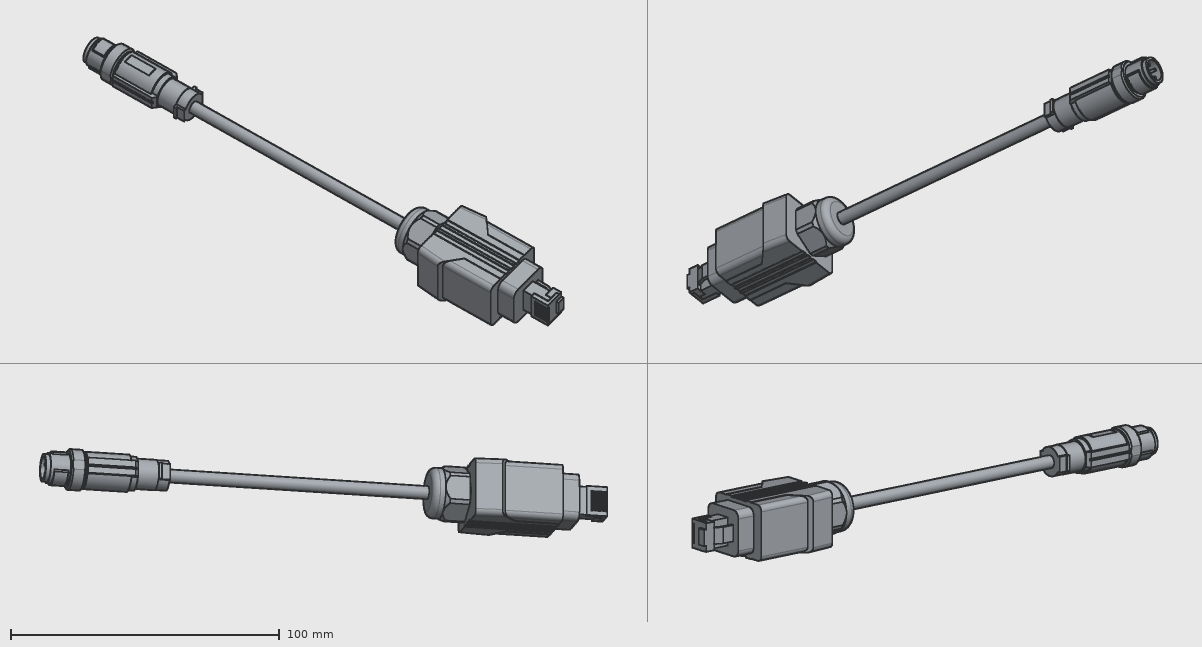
import cadquery as cq
import math


tip_radius = 5.2
tip_end = 1.7
nose_diameter = 11.5
nose_radius = nose_diameter / 2
rail_start = 3.0
rail_end = 8.5
rail_diameter = 12.7
rail_radius = rail_diameter / 2
top_rail_width = 7.0
bottom_rail_level = -2.0
collar_start = 9.3
collar_end = 15.0
collar_diameter = 15.3
collar_radius = collar_diameter / 2
collar_chamfer = 0.6
collar_flat_distance = 15.0
groove_radius = 6.3
grip_start = 15.5
grip_end = 32.5
grip_diameter = 14.0
grip_radius = grip_diameter / 2
shoulder_end = 35.0
shoulder_diameter = 12.7
shoulder_radius = shoulder_diameter / 2
pad_half_width = collar_radius
pad_height = 5.8
pad_bevel = 1.3
pad_groove_width = 0.6
pad_groove_depth = 0.5
marker_start = 17.0
marker_end = 28.3
marker_width = 4.8
marker_depth = 0.32
sleeve_end = 47.3
sleeve_tab_start = 43.0
sleeve_tab_taper_end = 44.0
sleeve_tab_height = 6.0
sleeve_tail_radius = 5.6
bore_radius = 4.0
bore_depth = 5.5
pin_radius = 0.55
pin_pitch = 3.7
pin_length = 4.3
key_width = 1.0
key_height = 0.9

cable_diameter = 5.0
cable_radius = cable_diameter / 2
nut_start = 147.2
nut_hex_start = 152.0
nut_end = 161.2
nut_across_flats = 19.0
nut_corner_flats = 21.0
nut_dome_radius = nut_across_flats / 2
nut_dome_fillet = 2.5
nut_bevel_length = 1.7
neck_radius = 6.3

housing_start = 162.3
housing_end = 195.8
housing_height = 22.0
housing_fillet = 2.2
front_half_width = 14.0
peak_x = 172.2
peak_width = 30.0
peak_half_width = peak_width / 2
spine_x = 179.0
spine_half_width = 7.3
rear_width = 27.0
rear_step = 0.2
rib_groove_width = 2.05
rib_groove_pitch = 3.2
rib_groove_depth = 0.5
hood_end = 203.1
hood_size = 18.0
hood_fillet = 2.8

plug_end = 215.0
plug_top = 2.8
plug_bottom = -3.0
plug_height = 10.8
frame_start = 207.2
frame_bottom = -3.7
frame_inner = -1.7
frame_height = 11.2
head_start = 211.1
head_bottom = 0.2
head_top = 4.8
head_height = 11.0
end_wall_start = 213.7
end_wall_top = 3.5
tab_end = 216.0
tab_bottom = 1.5
latch_height = 6.3
latch_top = 6.0
latch_thickness = 1.3
latch_bend = 207.9
contact_start = 209.0
contact_count = 8
contact_pitch = 1.0
contact_slot_width = 0.55
contact_slot_depth = 0.9


def block(x0, x1, y0, y1, z0, z1):
    return cq.Workplane("XY").box(x1 - x0, y1 - y0, z1 - z0, centered=False).translate((x0, y0, z0))


def centered_block(x0, x1, width, height):
    return block(x0, x1, -width / 2, width / 2, -height / 2, height / 2)


def rod(x0, x1, radius, y=0, z=0):
    return cq.Workplane("YZ", origin=(x0, y, z)).circle(radius).extrude(x1 - x0)


def plate(points, height):
    """Prism with an XY outline, centred on Z = 0."""
    return cq.Workplane("XY").polyline(points).close().extrude(height / 2, both=True)


def mirrored_plate(half_outline, height):
    """Prism whose outline is given for +Y and repeated for -Y."""
    lower_half = [(x, -y) for x, y in reversed(half_outline)]
    return plate(half_outline + lower_half, height)


def make_rails():
    """Raised bands on the nose: a narrow one on top and a wide one around the underside."""
    band = rod(rail_start, rail_end, rail_radius)
    half_top = top_rail_width / 2
    top_zone = block(rail_start, rail_end, -half_top, half_top, 0, rail_radius)
    bottom_zone = block(rail_start, rail_end, -nose_radius, nose_radius, -rail_radius, bottom_rail_level)
    return band.intersect(top_zone.union(bottom_zone))


def make_collar():
    collar = rod(collar_start, collar_end, collar_radius).faces("<X or >X").chamfer(collar_chamfer)
    flats = centered_block(collar_start, collar_end, collar_flat_distance, collar_diameter)
    return collar.intersect(flats)


def make_grip():
    pads = mirrored_plate(
        [
            (grip_start, pad_half_width),
            (shoulder_end - pad_bevel, pad_half_width),
            (shoulder_end, pad_half_width - pad_bevel),
        ],
        pad_height,
    )
    shoulder = rod(grip_end, shoulder_end, shoulder_radius)
    grip = rod(grip_start, grip_end, grip_radius).union(shoulder).union(pads)
    groove_floor = pad_half_width - pad_groove_depth
    half_groove = pad_groove_width / 2
    for y0, y1 in ((groove_floor, pad_half_width), (-pad_half_width, -groove_floor)):
        grip = grip.cut(block(grip_start, shoulder_end, y0, y1, -half_groove, half_groove))
    marker_floor = grip_radius - marker_depth
    marker_half = marker_width / 2
    return grip.cut(block(marker_start, marker_end, -marker_half, marker_half, marker_floor, grip_radius))


def make_sleeve():
    tabs = mirrored_plate(
        [
            (sleeve_tab_start, shoulder_radius),
            (sleeve_tab_taper_end, shoulder_radius),
            (sleeve_tab_taper_end, nose_radius),
            (sleeve_end, nose_radius),
        ],
        sleeve_tab_height,
    )
    sleeve = rod(shoulder_end, sleeve_tab_start, nose_radius)
    return sleeve.union(rod(sleeve_tab_start, sleeve_end, sleeve_tail_radius)).union(tabs)


def make_round_plug():
    plug = rod(0, tip_end, tip_radius).union(rod(tip_end, collar_start, nose_radius))
    plug = plug.union(make_rails())
    plug = plug.union(make_collar()).union(rod(collar_end, grip_start, groove_radius))
    plug = plug.union(make_grip()).union(make_sleeve())

    plug = plug.cut(rod(0, bore_depth, bore_radius))
    pin_offset = pin_pitch / 2
    for y in (-pin_offset, pin_offset):
        for z in (-pin_offset, pin_offset):
            plug = plug.union(rod(bore_depth - pin_length, bore_depth, pin_radius, y, z))
    key_top = key_height - bore_radius
    return plug.union(block(tip_end, bore_depth, -key_width / 2, key_width / 2, -tip_radius, key_top))


def hexagon_prism(across_flats, turn):
    """Hexagonal bar over the nut length; at zero turn its flats face +Y and -Y."""
    corner_radius = across_flats / 2 / math.cos(math.pi / 6)
    corners = []
    for i in range(6):
        angle = turn + math.pi / 6 + i * math.pi / 3
        corners.append((corner_radius * math.cos(angle), corner_radius * math.sin(angle)))
    outline = cq.Workplane("YZ", origin=(nut_hex_start, 0, 0)).polyline(corners).close()
    return outline.extrude(nut_end - nut_hex_start)


def make_gland_nut():
    outer_radius = nut_across_flats
    bevel_end = nut_hex_start + nut_bevel_length
    envelope = (
        cq.Workplane("XY")
        .polyline([
            (nut_hex_start, 0),
            (nut_hex_start, nut_dome_radius),
            (bevel_end, nut_corner_flats / 2),
            (bevel_end, outer_radius),
            (nut_end, outer_radius),
            (nut_end, 0),
        ])
        .close()
        .revolve(360, (0, 0, 0), (1, 0, 0))
    )
    corner_cut = hexagon_prism(nut_corner_flats, math.pi / 6)
    hexagon = hexagon_prism(nut_across_flats, 0).intersect(corner_cut).intersect(envelope)
    dome = rod(nut_start, nut_hex_start, nut_dome_radius).faces("<X").edges().fillet(nut_dome_fillet)
    return dome.union(hexagon).union(rod(nut_end, housing_start, neck_radius))


def make_housing():
    front = mirrored_plate(
        [
            (housing_start, front_half_width),
            (peak_x, peak_half_width),
            (spine_x, spine_half_width),
            (housing_end, spine_half_width),
        ],
        housing_height,
    )
    for side in (-1, 1):
        for level in (-1, 1):
            middle = (
                (housing_start + peak_x) / 2,
                side * (front_half_width + peak_half_width) / 2,
                level * housing_height / 2,
            )
            front = front.edges(cq.selectors.NearestToPointSelector(middle)).fillet(housing_fillet)

    rear = centered_block(peak_x, housing_end, rear_width, housing_height - 2 * rear_step)
    rear = rear.edges("|X").fillet(housing_fillet)
    housing = front.union(rear)

    groove_floor = housing_height / 2 - rib_groove_depth
    for i in (-1, 0, 1):
        y0 = i * rib_groove_pitch - rib_groove_width / 2
        y1 = y0 + rib_groove_width
        for z0, z1 in ((groove_floor, housing_height / 2), (-housing_height / 2, -groove_floor)):
            housing = housing.cut(block(housing_start, housing_end, y0, y1, z0, z1))

    hood = centered_block(housing_end, hood_end, hood_size, hood_size).edges("|X").fillet(hood_fillet)
    return housing.union(hood)


def make_modular_plug():
    half_frame = frame_height / 2
    body = block(hood_end, plug_end, plug_bottom, plug_top, -plug_height / 2, plug_height / 2)
    frame = block(frame_start, plug_end, frame_bottom, frame_inner, -half_frame, half_frame)
    end_wall = block(end_wall_start, plug_end, frame_bottom, end_wall_top, -half_frame, half_frame)
    head = block(head_start, plug_end, head_bottom, head_top, -head_height / 2, head_height / 2)
    tab = block(plug_end, tab_end, tab_bottom, head_top, -latch_height / 2, latch_height / 2)
    latch = plate(
        [
            (hood_end, latch_top),
            (latch_bend, latch_top),
            (head_start, head_top),
            (head_start, head_top - latch_thickness),
            (latch_bend, latch_top - latch_thickness),
            (hood_end, latch_top - latch_thickness),
        ],
        latch_height,
    )
    plug = body.union(frame).union(end_wall).union(head).union(tab).union(latch)

    slot_floor = frame_bottom + contact_slot_depth
    for i in range(contact_count):
        z0 = (i - (contact_count - 1) / 2) * contact_pitch - contact_slot_width / 2
        z1 = z0 + contact_slot_width
        plug = plug.cut(block(contact_start, plug_end, frame_bottom, slot_floor, z0, z1))
    return plug


cable = rod(sleeve_end, nut_start, cable_radius)
result = make_round_plug().union(cable).union(make_gland_nut())
result = result.union(make_housing()).union(make_modular_plug())